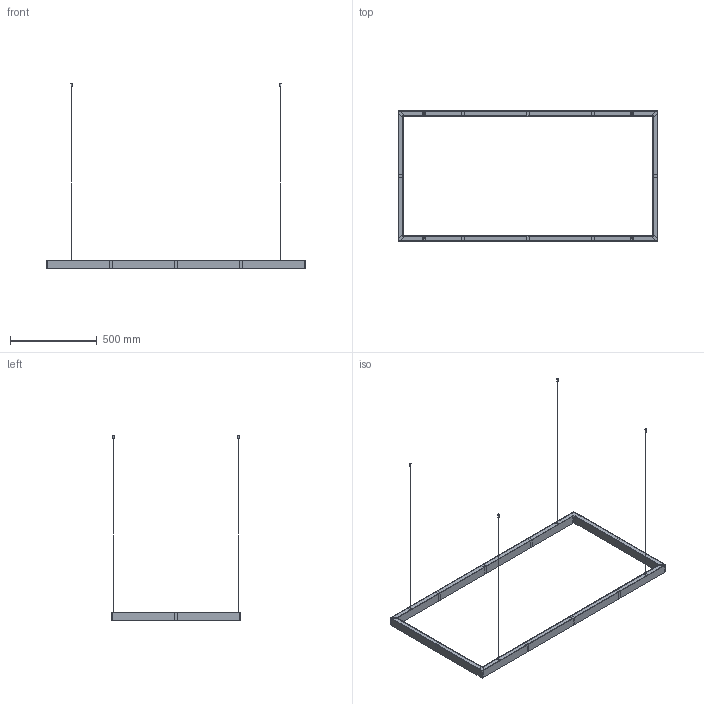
import cadquery as cq

frame_length = 1500
frame_width = 750
frame_height = 50
profile_width = 29
wall = 2

cover_width = profile_width - 2 * wall
cover_thickness = 2
cover_bottom = frame_height - cover_thickness

band_width = 15
band_depth = 0.1
band_margin = 0.5
band_pitch = frame_width / 2
corner_angle = 45

profile_center_x = (frame_length - profile_width) / 2
profile_center_y = (frame_width - profile_width) / 2

total_height = 1073
hanger_x = 601
hanger_y = 360
plate_length = band_width
plate_thickness = cover_thickness / 2

cable_diameter = 1.2
fitting_length = 20.7
fitting_diameter = 9
rim_diameter = 11
rim_thickness = 0.2
recess_diameter = 4
recess_depth = 2
fitting_bottom = total_height - fitting_length

sides = (-1, 1)


def ring(inset, bottom, top):
    """Rectangular ring between two heights, its profile narrowed on both sides by the inset."""
    opening = profile_width - inset
    outline = cq.Workplane("XY").workplane(offset=bottom)
    outline = outline.rect(frame_length - 2 * inset, frame_width - 2 * inset)
    outline = outline.rect(frame_length - 2 * opening, frame_width - 2 * opening)
    return outline.extrude(top - bottom)


def band_slab(x, y, angle):
    """Upright block one band wide, reaching across the profile at a point and turned about Z."""
    reach = 2 * profile_width
    slab = cq.Workplane("XY").box(band_width, reach, frame_height, centered=(True, True, False))
    return slab.rotate((0, 0, 0), (0, 0, 1), angle).translate((x, y, 0))


def make_band_slabs():
    slabs = []
    for side in sides:
        for step in (-1, 0, 1):
            slabs.append(band_slab(step * band_pitch, side * profile_center_y, 0))
        slabs.append(band_slab(side * profile_center_x, 0, 90))
        for end in sides:
            angle = -corner_angle * side * end
            slabs.append(band_slab(end * profile_center_x, side * profile_center_y, angle))
    return slabs


def make_housing(slabs):
    """Frame with a channel for the cover and with bands on its inner and outer side faces."""
    housing = ring(0, 0, frame_height).cut(ring(wall, cover_bottom, frame_height))
    side_skin = ring(0, band_margin, frame_height - band_margin)
    side_skin = side_skin.cut(ring(band_depth, 0, frame_height))
    for slab in slabs:
        housing = housing.cut(side_skin.intersect(slab))
    return housing


def make_plate(x, y):
    """Rectangular hanger plate, flush with the top of the cover and as wide as it."""
    plate = cq.Workplane("XY").box(plate_length, cover_width, plate_thickness, centered=(True, True, False))
    return plate.translate((x, y, frame_height - plate_thickness))


def make_cover(slabs, plates):
    """Cover ring with bands on its top face and a recess for each hanger plate."""
    cover = ring(wall, cover_bottom, frame_height)
    top_skin = ring(wall, frame_height - band_depth, frame_height)
    for slab in slabs:
        cover = cover.cut(top_skin.intersect(slab))
    for plate in plates:
        cover = cover.cut(plate)
    return cover


def cylinder(diameter, bottom, top):
    return cq.Workplane("XY").workplane(offset=bottom).circle(diameter / 2).extrude(top - bottom)


def make_suspension(x, y):
    """Cable standing on its plate, with the rimmed ceiling fitting on top."""
    suspension = cylinder(cable_diameter, frame_height, fitting_bottom)
    suspension = suspension.union(cylinder(fitting_diameter, fitting_bottom, total_height))
    suspension = suspension.union(cylinder(rim_diameter, total_height - rim_thickness, total_height))
    suspension = suspension.cut(cylinder(recess_diameter, total_height - recess_depth, total_height))
    return suspension.translate((x, y, 0))


band_slabs = make_band_slabs()
housing = make_housing(band_slabs)
plates = []
suspensions = []
for end in sides:
    for side in sides:
        plates.append(make_plate(end * hanger_x, side * profile_center_y))
        suspensions.append(make_suspension(end * hanger_x, side * hanger_y))
cover = make_cover(band_slabs, plates)

bodies = [housing, cover, *plates, *suspensions]
result = cq.Compound.makeCompound([solid for body in bodies for solid in body.solids().vals()])